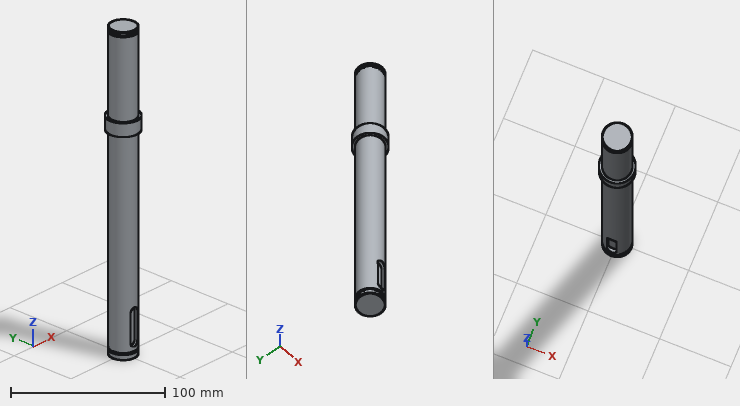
import cadquery as cq

length = 237.2
shaft_diameter = 20.0
shaft_radius = shaft_diameter / 2
end_chamfer = 0.5

collar_diameter = 24.0
collar_bottom = 162.5
collar_height = 10.0

groove_diameter = 18.3
groove_width = 1.2
bottom_groove_gap = 4.0
top_groove_gap = 2.4

keyway_width = 6.5
keyway_bottom = 8.8
keyway_length = 28.0
keyway_depth = 2.8


def disc(diameter, bottom, height):
    """Cylinder on the shaft axis."""
    return cq.Workplane("XY").workplane(offset=bottom).circle(diameter / 2).extrude(height)


def groove_ring(bottom):
    """Ring of material removed for one retaining ring."""
    outside = disc(collar_diameter, bottom, groove_width)
    return outside.cut(disc(groove_diameter, bottom, groove_width))


def keyway_cutter():
    """Slot running along Z, from the keyway floor out past the shaft surface."""
    floor_y = keyway_depth - shaft_radius
    return (
        cq.Workplane("XZ", origin=(0, floor_y, keyway_bottom + keyway_length / 2))
        .slot2D(keyway_length, keyway_width, 90)
        .extrude(shaft_radius)
    )


shaft = disc(shaft_diameter, 0, length).faces("<Z or >Z").chamfer(end_chamfer)
result = shaft.union(disc(collar_diameter, collar_bottom, collar_height))

for groove_bottom in (bottom_groove_gap, length - top_groove_gap - groove_width):
    result = result.cut(groove_ring(groove_bottom))

result = result.cut(keyway_cutter())